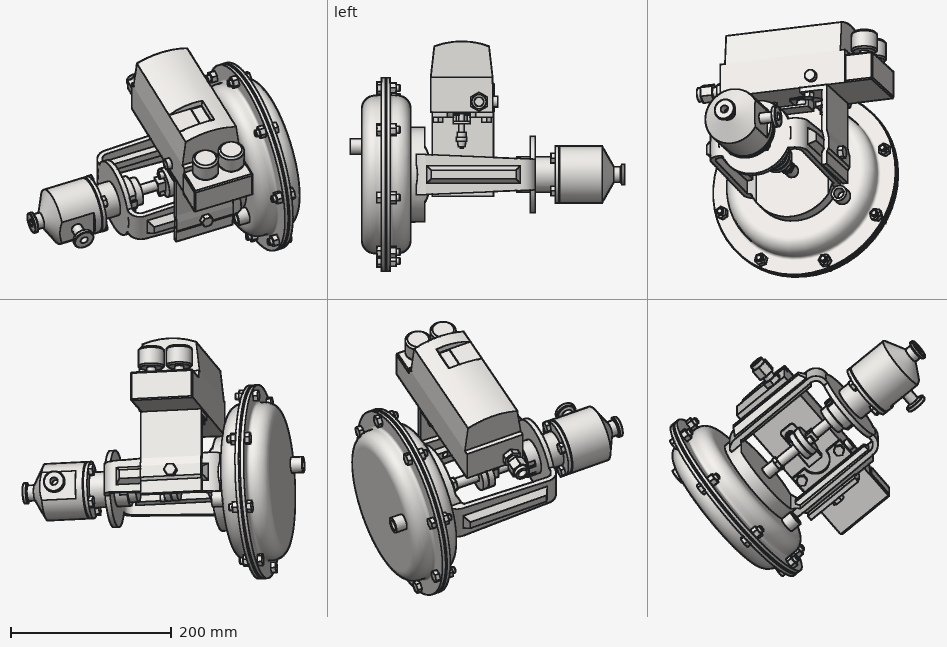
import cadquery as cq
import math


AXIS_PLANES = {"X": "YZ", "Y": "XZ", "Z": "XY"}
AXIS_SIGNS = {"X": 1, "Y": -1, "Z": 1}


def prism(axis, center, start, end):
    """Return a workplane at `start` on `axis`, centred on `center`, and the signed height to `end`."""
    offset = AXIS_SIGNS[axis] * start
    plane = cq.Workplane(AXIS_PLANES[axis]).workplane(offset=offset).center(*center)
    return plane, AXIS_SIGNS[axis] * (end - start)


def cylinder(axis, radius, start, end, center=(0, 0)):
    plane, height = prism(axis, center, start, end)
    return plane.circle(radius).extrude(height)


def hexagon(axis, corner_radius, start, end, center=(0, 0), turn=0):
    """Hexagonal prism; at turn 0 two corners lie along the first in-plane axis."""
    plane, height = prism(axis, center, start, end)
    return plane.transformed(rotate=(0, 0, turn)).polygon(6, 2 * corner_radius).extrude(height)


def box(x_range, y_range, z_range):
    size = [high - low for low, high in (x_range, y_range, z_range)]
    return cq.Workplane("XY").box(*size, centered=False).translate((x_range[0], y_range[0], z_range[0]))


def turned(points):
    """Solid of revolution about Y from (radius, y) points."""
    return cq.Workplane("XY").polyline(points).close().revolve(360, (0, 0, 0), (0, 1, 0))


def joined(parts):
    """Union of all the parts of one body."""
    total = parts[0]
    for part in parts[1:]:
        total = total.union(part)
    return total


flange_radius = 120.7
flange_half = 5.5
diaphragm_half = 1.0
diaphragm_recess = 0.5
dome_radius = 98.5
dome_corner = 16.8
dome_root_fillet = 3.5
dome_back_y = 30.0
dome_front_y = -31.0

bolt_count = 8
bolt_circle_radius = 111.5
first_bolt_angle = 15
nut_turn_from_bolt = 15
head_turn_from_nut = 30
bolt_hex_radius = 7.5
bolt_head_height = 5.8
bolt_nut_height = 7.2
stud_radius = 4.0
stud_end_y = -17.8
stud_chamfer = 1.0

air_port_x = 60.5
air_port_z = -35.0
air_port_radius = 10.0
air_port_bore = 6.5
air_port_back_y = 44.5
air_port_front_y = -45.8


def dome(face_y):
    """Half of the diaphragm casing, from the flange to its flat face at face_y."""
    side = math.copysign(1, face_y)
    fillet_start = side * flange_half
    fillet_end = fillet_start + side * dome_root_fillet
    corner_start = face_y - side * dome_corner
    fillet_outer = dome_radius + dome_root_fillet
    fillet_middle = (
        fillet_outer - dome_root_fillet * math.sqrt(0.5),
        fillet_end - side * dome_root_fillet * math.sqrt(0.5),
    )
    corner_center = dome_radius - dome_corner
    corner_middle = (
        corner_center + dome_corner * math.sqrt(0.5),
        corner_start + side * dome_corner * math.sqrt(0.5),
    )
    return (
        cq.Workplane("XY")
        .lineTo(0, fillet_start)
        .lineTo(fillet_outer, fillet_start)
        .threePointArc(fillet_middle, (dome_radius, fillet_end))
        .lineTo(dome_radius, corner_start)
        .threePointArc(corner_middle, (corner_center, face_y))
        .lineTo(0, face_y)
        .close()
        .revolve(360, (0, 0, 0), (0, 1, 0))
    )


def flange_bolt(angle):
    """Bolt head behind the flange, nut and stud end in front of it."""
    spot = (
        bolt_circle_radius * math.cos(math.radians(angle)),
        bolt_circle_radius * math.sin(math.radians(angle)),
    )
    nut_turn = angle + nut_turn_from_bolt
    head_turn = nut_turn + head_turn_from_nut
    nut_end_y = -flange_half - bolt_nut_height
    head = hexagon("Y", bolt_hex_radius, flange_half, flange_half + bolt_head_height, spot, head_turn)
    nut = hexagon("Y", bolt_hex_radius, -flange_half, nut_end_y, spot, nut_turn)
    stud = cylinder("Y", stud_radius, nut_end_y, stud_end_y, spot).faces("<Y").chamfer(stud_chamfer)
    return [head, nut, stud]


def air_port(center, casing_y, end_y):
    port = cylinder("Y", air_port_radius, casing_y, end_y, center)
    return port.cut(cylinder("Y", air_port_bore, casing_y, end_y, center))


def actuator():
    parts = [
        cylinder("Y", flange_radius, flange_half, diaphragm_half),
        cylinder("Y", flange_radius - diaphragm_recess, diaphragm_half, -diaphragm_half),
        cylinder("Y", flange_radius, -diaphragm_half, -flange_half),
        dome(dome_back_y),
        dome(dome_front_y),
        air_port((-air_port_x, -air_port_z), dome_back_y, air_port_back_y),
        air_port((air_port_x, air_port_z), dome_front_y, air_port_front_y),
    ]
    for index in range(bolt_count):
        parts += flange_bolt(first_bolt_angle + index * 360 / bolt_count)
    return parts


collar_radius = 59.0
collar_front_y = -48.5

strap_outer_x = 63.5
strap_thickness = 6.5
strap_inner_x = strap_outer_x - strap_thickness
strap_bend_radius = 16.5
strap_root_y = -37.5
strap_root_x = 57.5
strap_shoulder_y = -50.0
strap_shoulder_middle = (61.5, -43.0)
strap_root_half = 25.0
strap_end_half = 19.0
yoke_plate_radius = 48.0
yoke_plate_front_y = -186.0
yoke_plate_back_y = yoke_plate_front_y + strap_thickness
strap_bend_y = yoke_plate_front_y + strap_bend_radius

gusset_inner_x = 47.5
gusset_front_y = -55.7

rib_outer_x = 72.5
rib_base_half = 11.0
rib_top_half = 5.5
rib_start_y = -51.0
rib_end_y = -167.5
rib_end_slope = 5.5
inner_rib_x = 50.5
inner_rib_base_half = 8.0
inner_rib_top_half = 5.0
inner_rib_end_slope = 2.5

mount_hole_radius = 3.5
mount_hole_ys = (-82.0, -95.0, -114.0)


def strap():
    """Leg of the yoke on +X with its bend into the plate, tapered in height toward the plate."""
    bend_x = strap_outer_x - strap_bend_radius
    inner_bend = strap_bend_radius - strap_thickness
    diagonal = math.sqrt(0.5)
    profile = (
        cq.Workplane("XY")
        .moveTo(0, yoke_plate_front_y)
        .lineTo(bend_x, yoke_plate_front_y)
        .threePointArc(
            (bend_x + strap_bend_radius * diagonal, strap_bend_y - strap_bend_radius * diagonal),
            (strap_outer_x, strap_bend_y),
        )
        .lineTo(strap_outer_x, strap_shoulder_y)
        .threePointArc(strap_shoulder_middle, (strap_root_x, strap_root_y))
        .lineTo(gusset_inner_x, strap_root_y)
        .lineTo(gusset_inner_x, collar_front_y)
        .lineTo(strap_inner_x, gusset_front_y)
        .lineTo(strap_inner_x, strap_bend_y)
        .threePointArc(
            (bend_x + inner_bend * diagonal, strap_bend_y - inner_bend * diagonal),
            (bend_x, yoke_plate_back_y),
        )
        .lineTo(0, yoke_plate_back_y)
        .close()
        .extrude(strap_root_half, both=True)
    )
    side_outline = [
        (strap_root_y, strap_root_half),
        (collar_front_y, strap_root_half),
        (yoke_plate_front_y, strap_end_half),
        (yoke_plate_front_y, -strap_end_half),
        (collar_front_y, -strap_root_half),
        (strap_root_y, -strap_root_half),
    ]
    return profile.intersect(cq.Workplane("YZ").polyline(side_outline).close().extrude(strap_outer_x))


def gusset():
    """Wedge that joins the leg to the full width of the collar face."""
    wedge = (
        cq.Workplane("XY")
        .polyline([
            (gusset_inner_x, collar_front_y),
            (strap_inner_x, gusset_front_y),
            (strap_outer_x, gusset_front_y),
            (strap_outer_x, collar_front_y),
        ])
        .close()
        .extrude(collar_radius, both=True)
    )
    return wedge.intersect(cylinder("Y", collar_radius, collar_front_y, gusset_front_y))


def rib(base_x, top_x, base_half, top_half, end_slope):
    """Stiffening rib along Y on a side of the strap, with all four sides sloped."""
    base_length = rib_start_y - rib_end_y
    return (
        cq.Workplane("YZ", origin=(base_x, (rib_start_y + rib_end_y) / 2, 0))
        .rect(base_length, 2 * base_half)
        .workplane(offset=top_x - base_x)
        .rect(base_length - 2 * end_slope, 2 * top_half)
        .loft(ruled=True)
    )


def yoke():
    outer_rib = rib(strap_outer_x, rib_outer_x, rib_base_half, rib_top_half, rib_end_slope)
    inner_rib = rib(strap_inner_x, inner_rib_x, inner_rib_base_half, inner_rib_top_half, inner_rib_end_slope)
    leg = joined([strap(), gusset(), outer_rib, inner_rib])
    drilled_leg = leg
    for hole_y in mount_hole_ys:
        drilled_leg = drilled_leg.cut(cylinder("X", mount_hole_radius, inner_rib_x, rib_outer_x, (hole_y, 0)))
    return [
        cylinder("Y", collar_radius, dome_front_y, collar_front_y),
        cylinder("Y", yoke_plate_radius, yoke_plate_back_y, yoke_plate_front_y),
        drilled_leg,
        leg.mirror("YZ"),
    ]


actuator_stem_radius = 8.0
actuator_stem_end_y = -66.0
lock_nut_radius = 9.0
lock_nut_end_y = -70.8
valve_stem_radius = 6.5
packing_radius = 17.8
packing_start_y = -153.0
bonnet_start_y = -163.0

coupling_radius = 18.5
coupling_start_y = -101.2
coupling_split_y = -109.5
coupling_end_y = -117.5
coupling_joint_groove = 0.7
clamp_half_x = 6.5
clamp_half_z = 7.5
clamp_end_y = -128.0
coupling_screw_radius = 4.5
coupling_screw_z = 14.7
coupling_screw_end_y = -124.0


def stem():
    parts = [
        cylinder("Y", actuator_stem_radius, collar_front_y, actuator_stem_end_y),
        hexagon("Y", lock_nut_radius, actuator_stem_end_y, lock_nut_end_y),
        cylinder("Y", valve_stem_radius, lock_nut_end_y, packing_start_y),
        cylinder("Y", packing_radius, packing_start_y, bonnet_start_y),
        cylinder("Y", coupling_radius, coupling_start_y, coupling_split_y + coupling_joint_groove),
        cylinder("Y", coupling_radius - coupling_joint_groove, coupling_start_y, coupling_end_y),
        cylinder("Y", coupling_radius, coupling_split_y, coupling_end_y),
        box(
            (-clamp_half_x, clamp_half_x), (clamp_end_y, coupling_end_y), (-clamp_half_z, clamp_half_z)
        ),
    ]
    for screw_z in (-coupling_screw_z, coupling_screw_z):
        parts.append(
            cylinder("Y", coupling_screw_radius, coupling_end_y, coupling_screw_end_y, (0, screw_z))
        )
    return parts


bonnet_radius = 22.2
bonnet_slot_x = (18.0, 21.2)
bonnet_slot_depth = 9.2
bonnet_slot_floor_z = 5.0
body_radius = 35.5
body_start_y = -210.7
body_joint_y = -215.5
body_joint_width = 1.0
body_joint_depth = 0.7
cone_start_y = -269.0
cone_end_y = -284.0
body_flat_x = 30.8
body_flat_y = -225.7

body_screw_spot = 20.5
body_screw_corner = 7.2
body_screw_height = 5.0

port_end_y = -297.5
port_neck_radius = 10.0
port_bore = 4.8
port_bore_depth = 13.7
ferrule_radius = 13.0
ferrule_step_radius = 11.0
ferrule_rim = 4.0
ferrule_step = 1.5
ferrule_chamfer = 0.7
side_port_y = -249.0
side_port_radius = 7.0
side_port_end_x = 54.0
side_port_rim = 4.8
side_port_step = 2.0


def body_shell():
    """Bonnet, body, cone and bottom ferrule, turned about the valve axis, with a flat on +X."""
    groove_radius = body_radius - body_joint_depth
    rim_y = port_end_y + ferrule_rim
    shell = turned([
        (0, bonnet_start_y),
        (bonnet_radius, bonnet_start_y),
        (bonnet_radius, body_start_y),
        (body_radius, body_start_y),
        (body_radius, body_joint_y),
        (groove_radius, body_joint_y),
        (groove_radius, body_joint_y - body_joint_width),
        (body_radius, body_joint_y - body_joint_width),
        (body_radius, cone_start_y),
        (port_neck_radius, cone_end_y),
        (port_neck_radius, rim_y + ferrule_step),
        (ferrule_step_radius, rim_y),
        (ferrule_radius, rim_y),
        (ferrule_radius, port_end_y + ferrule_chamfer),
        (ferrule_radius - ferrule_chamfer, port_end_y),
        (0, port_end_y),
    ])
    beyond_flat = box(
        (body_flat_x, body_radius), (port_end_y, body_flat_y), (-body_radius, body_radius)
    )
    return cut_bonnet_slots(shell.cut(beyond_flat))


def cut_bonnet_slots(shell):
    """Cut four blind spanner slots into the actuator end of the bonnet."""
    slot = box(
        bonnet_slot_x,
        (bonnet_start_y - bonnet_slot_depth, bonnet_start_y),
        (bonnet_slot_floor_z, bonnet_radius),
    )
    for side_slot in (slot, slot.mirror("YZ")):
        shell = shell.cut(side_slot).cut(side_slot.mirror("XY"))
    return shell


def side_port():
    rim_x = side_port_end_x - side_port_rim
    profile = [
        (0, 0),
        (0, side_port_radius),
        (rim_x - side_port_step, side_port_radius),
        (rim_x, ferrule_step_radius),
        (rim_x, ferrule_radius),
        (side_port_end_x - ferrule_chamfer, ferrule_radius),
        (side_port_end_x, ferrule_radius - ferrule_chamfer),
        (side_port_end_x, 0),
    ]
    port = cq.Workplane("XY").polyline(profile).close().revolve(360, (0, 0, 0), (1, 0, 0))
    return port.translate((0, side_port_y, 0))


def valve_body():
    body = body_shell().union(side_port())
    bottom_bore = cylinder("Y", port_bore, port_end_y, port_end_y + port_bore_depth)
    side_bore_start_x = side_port_end_x - port_bore_depth
    side_bore = cylinder("X", port_bore, side_bore_start_x, side_port_end_x, (side_port_y, 0))
    parts = [body.cut(bottom_bore).cut(side_bore)]
    for x in (-body_screw_spot, body_screw_spot):
        for z in (-body_screw_spot, body_screw_spot):
            parts.append(
                hexagon("Y", body_screw_corner, body_start_y + body_screw_height, body_start_y, (x, z))
            )
    return parts


valve = joined([joined(actuator()), joined(yoke()), joined(stem()), joined(valve_body())])

housing_x = (-65.0, 100.2)
housing_y = (-133.0, -55.7)
housing_z = (77.5, 121.0)
cover_x = (-58.8, 94.0)
cover_inset = 4.5
cover_edge_z = 159.7
cover_top_z = 166.0
mid_y = sum(housing_y) / 2

window_x = (42.0, 74.2)
window_slope = 2.5
window_back_y = -84.5
window_step_y = -99.2
window_step_depth = 1.5

knob_x = 56.0
knob_z = 90.5
knob_radius = 7.0
knob_end_y = -139.5


def cover():
    """Tapered hood with an arched top and a sunken display window."""
    hood = (
        cq.Workplane("YZ", origin=(cover_x[0], 0, 0))
        .moveTo(housing_y[0], housing_z[1])
        .lineTo(housing_y[0] + cover_inset, cover_edge_z)
        .threePointArc((mid_y, cover_top_z), (housing_y[1] - cover_inset, cover_edge_z))
        .lineTo(housing_y[1], housing_z[1])
        .close()
        .extrude(cover_x[1] - cover_x[0])
    )
    window_length = window_back_y - housing_y[0]
    window_width = window_x[1] - window_x[0]
    window = (
        cq.Workplane("XY", origin=(sum(window_x) / 2, housing_y[0] + window_length / 2, cover_edge_z))
        .rect(window_width, window_length)
        .workplane(offset=cover_top_z - cover_edge_z)
        .rect(window_width + 2 * window_slope, window_length + 2 * window_slope)
        .loft(ruled=True)
    )
    sunk_step = box(
        window_x, (window_step_y, window_back_y), (cover_edge_z - window_step_depth, cover_edge_z)
    )
    return hood.cut(window).cut(sunk_step)


def housing():
    return [
        box(housing_x, housing_y, housing_z),
        cover(),
        cylinder("Y", knob_radius, housing_y[0], knob_end_y, (knob_x, knob_z)),
    ]


gauge_block_end_x = 137.0
gauge_block_front_y = -135.0
gauge_block_top_z = 114.0
gauge_block_chamfer = 1.7
gauge_spots = ((117.3, -77.0), (118.5, -112.2))
gauge_radius = 16.0
gauge_stem_radius = 5.8
gauge_bottom_z = 122.8
gauge_top_z = 147.7
gauge_chamfer = 2.7
gauge_bottom_chamfer = 2.0

gland_center = (-116.0, 90.5)
gland_ring_end_x = -99.2
gland_nut_outer_x = -93.7
gland_nut_inner_x = -79.0
gland_lock_nut_x = -72.0
gland_ring_radius = 9.0
gland_hex_radius = 11.5
gland_hex_turn = 30
gland_neck_radius = 7.2
gland_bore = 5.8


def gauge_block():
    block = box(
        (housing_x[1], gauge_block_end_x),
        (gauge_block_front_y, housing_y[1]),
        (housing_z[0], gauge_block_top_z),
    )
    return block.edges(">X or <Y or (>Z and >Y)").chamfer(gauge_block_chamfer)


def gauge(spot):
    stem_part = cylinder("Z", gauge_stem_radius, gauge_block_top_z, gauge_bottom_z, spot)
    dial = cylinder("Z", gauge_radius, gauge_bottom_z, gauge_top_z, spot)
    dial = dial.faces(">Z").chamfer(gauge_chamfer).faces("<Z").chamfer(gauge_bottom_chamfer)
    return stem_part.union(dial)


def cable_gland():
    gland = joined([
        cylinder("X", gland_ring_radius, gland_ring_end_x, gland_nut_outer_x, gland_center),
        hexagon("X", gland_hex_radius, gland_nut_outer_x, gland_nut_inner_x, gland_center, gland_hex_turn),
        cylinder("X", gland_neck_radius, gland_nut_inner_x, gland_lock_nut_x, gland_center),
        hexagon("X", gland_hex_radius, gland_lock_nut_x, housing_x[0], gland_center, gland_hex_turn),
    ])
    return gland.cut(cylinder("X", gland_bore, gland_ring_end_x, gland_nut_inner_x, gland_center))


bracket_y = (-134.0, -57.5)
bracket_flange_x = 41.0
bracket_inner_x = 70.0
bracket_thickness = 6.5
bracket_flange_z = 71.5
bracket_bottom_z = -27.5
bracket_notch_radius = 17.8
jog_top_z = 17.8
jog_upper_z = 7.5
jog_lower_z = -7.0
jog_bottom_z = -11.0

bracket_screw_x = 49.5
bracket_screw_ys = (-125.5, -65.0)
bracket_screw_corner = 7.0
bracket_screw_end_z = 65.3
mount_bolt_y = mount_hole_ys[1]
mount_bolt_corner = 8.0
mount_bolt_end_x = 86.0


def bracket():
    """Bent plate under the housing that steps outward around the yoke rib it rests on."""
    jog_path = [
        (bracket_inner_x, jog_top_z),
        (rib_outer_x, jog_upper_z),
        (rib_outer_x, jog_lower_z),
        (bracket_inner_x, jog_bottom_z),
        (bracket_inner_x, bracket_bottom_z),
    ]
    outer_path = [(x + bracket_thickness, z) for x, z in reversed(jog_path)]
    outline = [
        (bracket_inner_x + bracket_thickness, housing_z[0]),
        (bracket_flange_x, housing_z[0]),
        (bracket_flange_x, bracket_flange_z),
        (bracket_inner_x, bracket_flange_z),
        *jog_path,
        *outer_path,
    ]
    plate = (
        cq.Workplane("XZ", origin=(0, bracket_y[1], 0))
        .polyline(outline)
        .close()
        .extrude(bracket_y[1] - bracket_y[0])
    )
    notch_center = (bracket_flange_x, mid_y)
    notch = cylinder("Z", bracket_notch_radius, bracket_flange_z, housing_z[0], notch_center)
    return plate.cut(notch)


def bracket_fasteners():
    mount_bolt = hexagon(
        "X", mount_bolt_corner, rib_outer_x + bracket_thickness, mount_bolt_end_x, (mount_bolt_y, 0)
    )
    flange_screws = [
        hexagon("Z", bracket_screw_corner, bracket_screw_end_z, bracket_flange_z, (bracket_screw_x, y))
        for y in bracket_screw_ys
    ]
    return [mount_bolt, *flange_screws]


lever_width = 21.0
lever_end_x = 41.0
lever_thickness = 3.0
lever_top_z = 75.5
lever_bottom_z = 63.0
lever_lower_tip_x = -16.0
lever_upper_tip_x = 15.7
lever_upper_thickness = 2.0
lever_tip_fillet = 4.0
lever_hub_x = 29.8
lever_hub_radius = 7.0

pin_x = -7.2
pin_radius = 3.5
pin_profile = [(5.5, 52.3), (5.5, 46.5), (6.5, 46.5), (6.5, 41.5), (5.5, 41.5), (4.0, 34.5)]
pin_tip_radius = 2.0
pin_tip_z = 32.5


def lever():
    """U-shaped strip with a hub that hangs from the housing."""
    half = lever_width / 2
    lever_y = (mid_y - half, mid_y + half)
    lower_top_z = lever_bottom_z + lever_thickness
    web_x = (lever_end_x - lever_thickness, lever_end_x)
    lower_arm = box((lever_lower_tip_x, lever_end_x), lever_y, (lever_bottom_z, lower_top_z))
    upper_arm = box(
        (lever_upper_tip_x, lever_end_x), lever_y, (lever_top_z - lever_upper_thickness, lever_top_z)
    )
    return [
        lower_arm.edges("|Z and <X").fillet(lever_tip_fillet),
        upper_arm.edges("|Z and <X").fillet(lever_tip_fillet),
        box(web_x, lever_y, (lever_bottom_z, lever_top_z)),
        cylinder("Z", lever_hub_radius, lower_top_z, housing_z[0], (lever_hub_x, mid_y)),
    ]


def lever_pin():
    lower_end_z = pin_profile[-1][1]
    outline = [
        (0, lever_top_z),
        (pin_radius, lever_top_z),
        (pin_radius, pin_profile[0][1]),
        *pin_profile,
        (pin_tip_radius, lower_end_z),
        (pin_tip_radius, pin_tip_z),
        (0, pin_tip_z),
    ]
    pin = cq.Workplane("XZ").polyline(outline).close().revolve(360, (0, 0, 0), (0, 1, 0))
    return pin.translate((pin_x, mid_y, 0))


gauges = [gauge(spot) for spot in gauge_spots]
positioner = joined(
    housing()
    + [gauge_block(), *gauges, cable_gland(), bracket()]
    + bracket_fasteners()
    + lever()
    + [lever_pin()]
)

result = cq.Compound.makeCompound([*valve.solids().vals(), *positioner.solids().vals()])